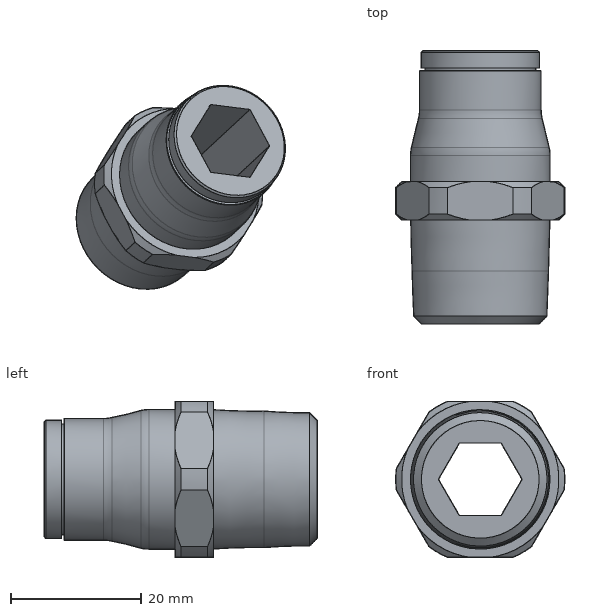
import cadquery as cq
import math

total_length = 42.0
thread_chamfer_length = 1.2
thread_taper_break = 8.2
nut_start = 15.95
nut_end = 21.9
neck_start = 32.85
neck_end = 38.95
collar_start = 39.3

thread_face_radius = 9.05
thread_tip_radius = 10.25
thread_mid_radius = 10.5
thread_root_radius = 10.7
neck_radius = 9.35
groove_radius = 8.53
collar_radius = 9.1
neck_chamfer = 0.1
collar_chamfer = 0.3

cone_angle = math.radians(13.6)
cone_length = 4.45
blend_length = 1.25
blend_drop = blend_length * math.tan(cone_angle / 2)
cone_end = neck_start - blend_length
cone_start = cone_end - cone_length
body_shoulder_end = cone_start - blend_length
cone_small_radius = neck_radius + blend_drop
cone_large_radius = cone_small_radius + cone_length * math.tan(cone_angle)
body_radius = cone_large_radius + blend_drop

nut_across_flats = 24.0
nut_corner_diameter = 26.0
nut_chamfer = 0.92
socket_across_flats = 11.1


def hexagon_bar(across_flats, start, end):
    """Hexagonal bar along +Y between two axial positions."""
    corner_diameter = across_flats / math.cos(math.radians(30))
    bar = cq.Workplane("XZ").polygon(6, corner_diameter).extrude(-(end - start))
    return bar.translate((0, start, 0))


def turned_body():
    """Threaded end, shoulder, neck, groove and collar as one revolve."""
    profile = (
        cq.Workplane("XY")
        .lineTo(thread_face_radius, 0)
        .lineTo(thread_tip_radius, thread_chamfer_length)
        .lineTo(thread_mid_radius, thread_taper_break)
        .lineTo(thread_root_radius, nut_start)
        .lineTo(body_radius, nut_start)
        .lineTo(body_radius, body_shoulder_end)
        .tangentArcPoint((cone_large_radius, cone_start), relative=False)
        .lineTo(cone_small_radius, cone_end)
        .tangentArcPoint((neck_radius, neck_start), relative=False)
        .lineTo(neck_radius, neck_end - neck_chamfer)
        .lineTo(neck_radius - neck_chamfer, neck_end)
        .lineTo(groove_radius, neck_end)
        .lineTo(groove_radius, collar_start)
        .lineTo(collar_radius, collar_start)
        .lineTo(collar_radius, total_length - collar_chamfer)
        .lineTo(collar_radius - collar_chamfer, total_length)
        .lineTo(0, total_length)
        .close()
    )
    return profile.revolve(360, (0, 0, 0), (0, 1, 0))


def nut():
    """Hexagonal nut with its corners turned round and chamfered."""
    envelope = (
        cq.Workplane("XZ")
        .circle(nut_corner_diameter / 2)
        .extrude(-(nut_end - nut_start))
        .edges()
        .chamfer(nut_chamfer)
        .translate((0, nut_start, 0))
    )
    return hexagon_bar(nut_across_flats, nut_start, nut_end).intersect(envelope)


socket = hexagon_bar(socket_across_flats, 0, total_length)
result = turned_body().union(nut()).cut(socket)